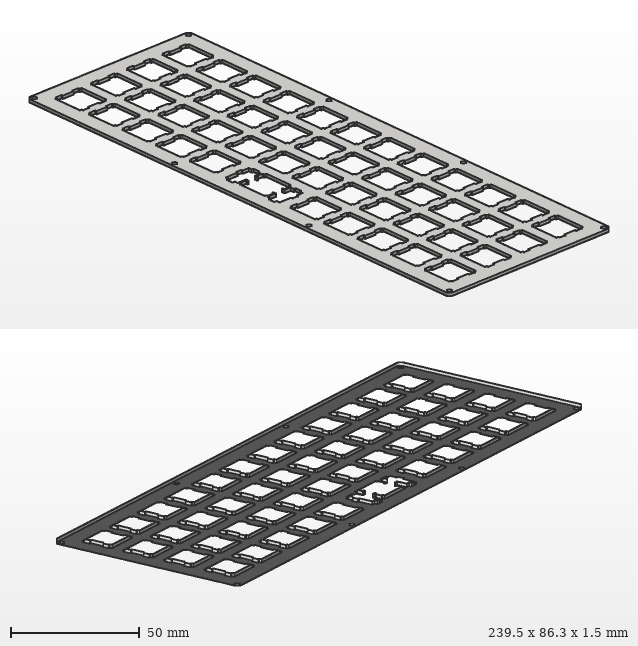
import cadquery as cq

plate_length = 239.5
plate_width = 86.3
plate_thickness = 1.5
corner_radius = 2.0

columns = 12
rows = 4
end_margin = 5.5
key_pitch = (plate_length - 2 * end_margin) / columns

switch_gap = 5.0
switch_size = key_pitch - switch_gap
notch_depth = 0.8
notch_height = 3.0
notch_corner_distance = 1.0
notch_outer_y = switch_size / 2 - notch_corner_distance
notch_inner_y = notch_outer_y - notch_height

wide_key_row = 0
wide_key_columns = (5, 6)
stabilizer_wall = 1.53
stabilizer_width = 6.7
stabilizer_offset = switch_size / 2 + stabilizer_wall + stabilizer_width / 2
stabilizer_top = 5.5
stabilizer_bottom = -6.7
slot_width = 3.4
upper_slot_depth = 0.9
lower_slot_depth = 1.2
slot_top = stabilizer_top + upper_slot_depth
slot_bottom = stabilizer_bottom - lower_slot_depth
side_notch_reach = stabilizer_width / 2 + notch_depth
side_notch_height = 2.9
side_notch_bottom = -0.5
side_notch_top = side_notch_bottom + side_notch_height
channel_height = 4.5

hole_diameter = 2.2
hole_edge_distance = corner_radius
inner_hole_x = 2 * key_pitch


def column_x(column):
    return (column - (columns - 1) / 2) * key_pitch


def row_y(row):
    return (row - (rows - 1) / 2) * key_pitch


def cutter(x_min, x_max, y_min, y_max):
    """Rectangular block through the full plate thickness."""
    return (
        cq.Workplane("XY")
        .center((x_min + x_max) / 2, (y_min + y_max) / 2)
        .rect(x_max - x_min, y_max - y_min)
        .extrude(plate_thickness)
    )


def switch_cutter():
    half_size = switch_size / 2
    half_notched = half_size + notch_depth
    opening = cutter(-half_size, half_size, -half_size, half_size)
    upper_notches = cutter(-half_notched, half_notched, notch_inner_y, notch_outer_y)
    lower_notches = cutter(-half_notched, half_notched, -notch_outer_y, -notch_inner_y)
    return opening.union(upper_notches).union(lower_notches)


def stabilizer_cutter():
    """Cutout on the right of the wide key, placed relative to the key centre."""
    x = stabilizer_offset
    half_width = stabilizer_width / 2
    half_slot = slot_width / 2
    half_channel = channel_height / 2
    housing = cutter(x - half_width, x + half_width, stabilizer_bottom, stabilizer_top)
    slot = cutter(x - half_slot, x + half_slot, slot_bottom, slot_top)
    side_notch = cutter(x, x + side_notch_reach, side_notch_bottom, side_notch_top)
    channel = cutter(0, x, -half_channel, half_channel)
    return housing.union(slot).union(side_notch).union(channel)


def wide_key_cutter():
    right_stabilizer = stabilizer_cutter()
    left_stabilizer = right_stabilizer.mirror("YZ")
    return switch_cutter().union(right_stabilizer).union(left_stabilizer)


plate = (
    cq.Workplane("XY")
    .rect(plate_length, plate_width)
    .extrude(plate_thickness)
    .edges("|Z")
    .fillet(corner_radius)
)

single_key_centers = [
    (column_x(column), row_y(row))
    for row in range(rows)
    for column in range(columns)
    if not (row == wide_key_row and column in wide_key_columns)
]
single_key = switch_cutter().val()
for x, y in single_key_centers:
    plate = plate.cut(cq.Workplane(single_key.translate(cq.Vector(x, y, 0))))

wide_key_x = sum(column_x(column) for column in wide_key_columns) / len(wide_key_columns)
plate = plate.cut(wide_key_cutter().translate((wide_key_x, row_y(wide_key_row), 0)))

corner_hole_x = plate_length / 2 - hole_edge_distance
hole_y = plate_width / 2 - hole_edge_distance
hole_centers = [
    (x, y)
    for x in (-corner_hole_x, -inner_hole_x, inner_hole_x, corner_hole_x)
    for y in (-hole_y, hole_y)
]
holes = (
    cq.Workplane("XY")
    .pushPoints(hole_centers)
    .circle(hole_diameter / 2)
    .extrude(plate_thickness)
)

result = plate.cut(holes)